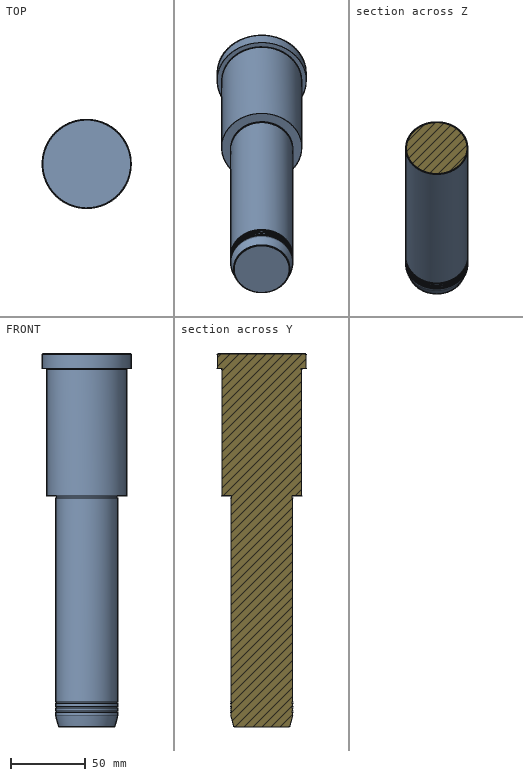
import cadquery as cq

total_length = 251.0
head_diameter = 60.0
head_height = 10.0
head_chamfer = 0.5
collar_diameter = 54.0
collar_length = 85.5
shank_diameter = 42.0
under_head_groove_width = 0.8
under_head_groove_depth = 0.3
neck_length = 1.3
neck_depth = 0.5

groove_count = 3
groove_pitch = 3.0
groove_width = 0.8
groove_depth = 0.5
lowest_groove_height = 10.0

lead_height = 8.0
lead_inset = 2.0
lead_bulge = 0.13
foot_chamfer = 0.5

head_bottom = total_length - head_height
collar_bottom = head_bottom - collar_length
shank_radius = shank_diameter / 2


def cylinder(diameter, bottom, top):
    """Solid cylinder on the Z axis between two heights."""
    return cq.Workplane("XY").workplane(offset=bottom).circle(diameter / 2).extrude(top - bottom)


def ring_groove(diameter, bottom, width, depth):
    """Ring that cuts a square groove into a cylinder of the given diameter."""
    return (
        cq.Workplane("XY")
        .workplane(offset=bottom)
        .circle(diameter / 2 + depth)
        .circle(diameter / 2 - depth)
        .extrude(width)
    )


def make_head():
    return cylinder(head_diameter, head_bottom, total_length).faces(">Z").chamfer(head_chamfer)


def make_collar():
    collar = cylinder(collar_diameter, collar_bottom, head_bottom)
    groove_bottom = head_bottom - under_head_groove_width
    return collar.cut(
        ring_groove(collar_diameter, groove_bottom, under_head_groove_width, under_head_groove_depth)
    )


def make_shank():
    """Shank with a slightly curved lead-in that narrows to a chamfered foot."""
    foot_radius = shank_radius - lead_inset
    lead_middle = (shank_radius - lead_inset / 2 + lead_bulge, (lead_height + foot_chamfer) / 2)
    shank = (
        cq.Workplane("XZ")
        .moveTo(0, 0)
        .lineTo(foot_radius - foot_chamfer, 0)
        .lineTo(foot_radius, foot_chamfer)
        .threePointArc(lead_middle, (shank_radius, lead_height))
        .lineTo(shank_radius, collar_bottom)
        .lineTo(0, collar_bottom)
        .close()
        .revolve(360, (0, 0, 0), (0, 1, 0))
    )
    for index in range(groove_count):
        groove_bottom = lowest_groove_height + index * groove_pitch
        shank = shank.cut(ring_groove(shank_diameter, groove_bottom, groove_width, groove_depth))
    return shank.cut(ring_groove(shank_diameter, collar_bottom - neck_length, neck_length, neck_depth))


result = make_shank().union(make_collar()).union(make_head())